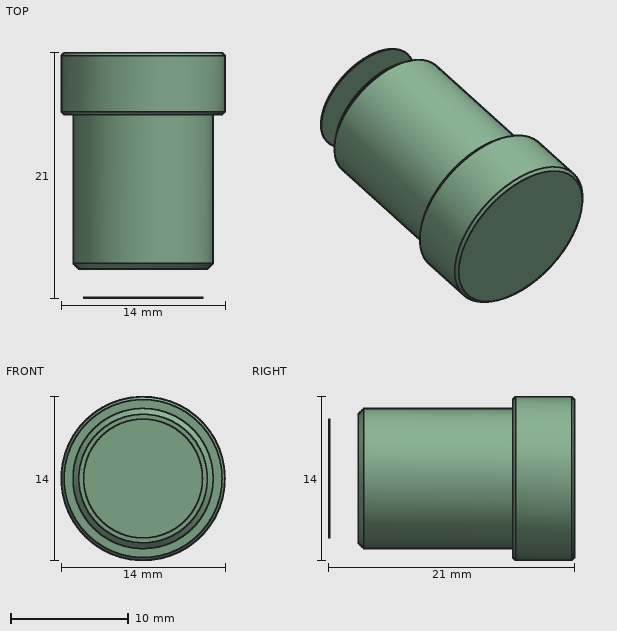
import cadquery as cq

overall_length = 21.0
head_diameter = 14.0
head_length = 5.3
head_chamfer = 0.25
shank_diameter = 12.0
shank_chamfer = 0.5
body_length = 18.5
recess_diameter = 8.0
recess_depth = 0.5
disc_diameter = 10.16
disc_thickness = 0.1

head_back = overall_length / 2
head_front = head_back - head_length
shank_end = head_back - body_length
disc_front = -overall_length / 2


def cylinder_along_y(diameter, start, length):
    """Solid cylinder on the Y axis, running from start towards +Y."""
    return (
        cq.Workplane("XZ", origin=(0, start, 0))
        .circle(diameter / 2)
        .extrude(-length)
    )


def make_stepped_plug():
    """Headed plug with chamfered rims and a shallow round recess in its free end."""
    head = cylinder_along_y(head_diameter, head_front, head_length)
    head = head.faces("<Y or >Y").edges().chamfer(head_chamfer)
    shank = cylinder_along_y(shank_diameter, shank_end, body_length - head_length)
    shank = shank.faces("<Y").edges().chamfer(shank_chamfer)
    recess = cylinder_along_y(recess_diameter, shank_end, recess_depth)
    return head.union(shank).cut(recess)


def make_disc():
    """Thin round disc held clear of the plug's free end."""
    return cylinder_along_y(disc_diameter, disc_front, disc_thickness)


stepped_plug = make_stepped_plug()
disc = make_disc()

result = cq.Compound.makeCompound([stepped_plug.val(), disc.val()])